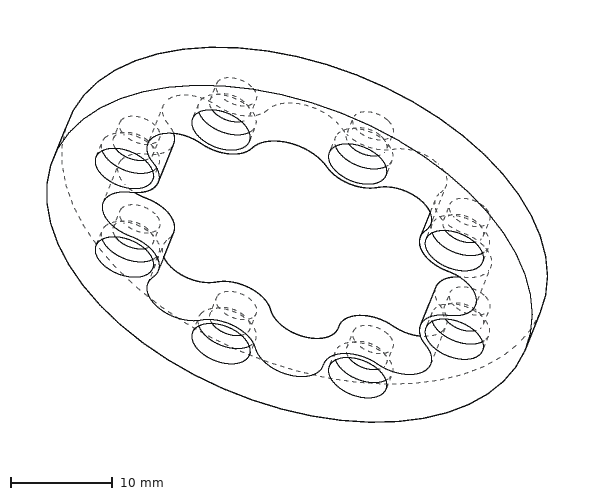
import cadquery as cq
import math

outer_diameter = 50.0
thickness = 5.0

hole_count = 8
hole_circle_diameter = 36.75
hole_circle_radius = hole_circle_diameter / 2
hole_diameter = 4.2
head_diameter = 6.0
head_depth = 2.0
countersink_angle = 90.0
wall_radius = 3.6

lobe_reach = 19.25
top_lobe_reach = 17.6
top_lobe_index = 2

pitch_angle = 2 * math.pi / hole_count


def polar(radius, angle):
    return (radius * math.cos(angle), radius * math.sin(angle))


def lobe_center_radius(reach):
    """Center distance of a lobe arc that reaches `reach` and is tangent to both neighboring walls."""
    along, across = polar(hole_circle_radius, pitch_angle / 2)
    span = reach + wall_radius
    return (span**2 - along**2 - across**2) / (2 * (span - along))


def tangent_point(wall_center, lobe_center):
    """Point where a wall arc passes smoothly into a lobe arc."""
    dx = lobe_center[0] - wall_center[0]
    dz = lobe_center[1] - wall_center[1]
    ratio = wall_radius / math.hypot(dx, dz)
    return (wall_center[0] + ratio * dx, wall_center[1] + ratio * dz)


def scalloped_outline():
    """Closed outline of lobes alternating with the walls around the holes."""
    outline = cq.Workplane("XZ")
    for index in range(hole_count):
        lobe_angle = index * pitch_angle
        reach = top_lobe_reach if index == top_lobe_index else lobe_reach
        next_index = (index + 1) % hole_count
        next_reach = top_lobe_reach if next_index == top_lobe_index else lobe_reach

        previous_wall = polar(hole_circle_radius, lobe_angle - pitch_angle / 2)
        next_wall_angle = lobe_angle + pitch_angle / 2
        next_wall = polar(hole_circle_radius, next_wall_angle)
        lobe_center = polar(lobe_center_radius(reach), lobe_angle)
        next_lobe_center = polar(lobe_center_radius(next_reach), lobe_angle + pitch_angle)

        if index == 0:
            outline = outline.moveTo(*tangent_point(previous_wall, lobe_center))
        outline = outline.threePointArc(polar(reach, lobe_angle), tangent_point(next_wall, lobe_center))
        wall_crest = polar(hole_circle_radius - wall_radius, next_wall_angle)
        outline = outline.threePointArc(wall_crest, tangent_point(next_wall, next_lobe_center))
    return outline.close()


def screw_hole_cutter():
    """Head bore from the front face, a cone below it, then the through hole."""
    hole_radius = hole_diameter / 2
    head_radius = head_diameter / 2
    cone_depth = (head_radius - hole_radius) / math.tan(math.radians(countersink_angle / 2))
    cone_start = head_depth - thickness
    profile = [
        (0, -thickness),
        (head_radius, -thickness),
        (head_radius, cone_start),
        (hole_radius, cone_start + cone_depth),
        (hole_radius, 0),
        (0, 0),
    ]
    return cq.Workplane("XY").polyline(profile).close().revolve(360, (0, 0), (0, 1))


ring = cq.Workplane("XZ").circle(outer_diameter / 2).extrude(thickness)
ring = ring.cut(scalloped_outline().extrude(thickness))

hole_cutter = screw_hole_cutter()
for hole_index in range(hole_count):
    hole_x, hole_z = polar(hole_circle_radius, (hole_index + 0.5) * pitch_angle)
    ring = ring.cut(hole_cutter.translate((hole_x, 0, hole_z)))

result = ring